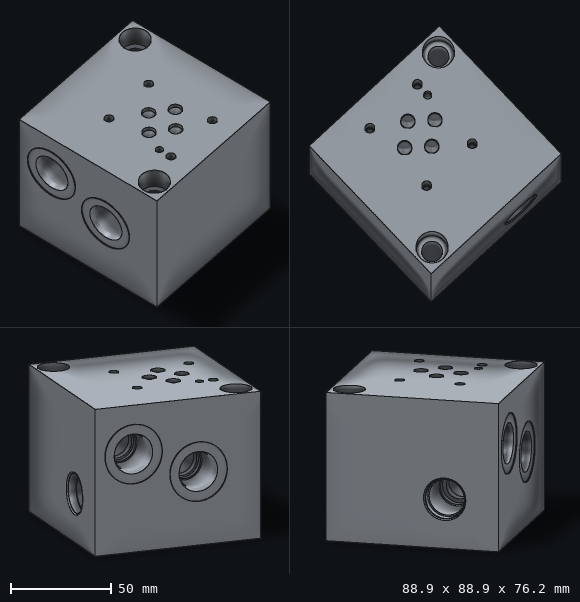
import cadquery as cq
import math

SIDE = 88.9
HEIGHT = 76.2
DRILL_POINT_ANGLE = 118.0

BOLT_DIA = 10.3
BOLT_HEAD_DIA = 15.9
BOLT_HEAD_DEPTH = 11.6
BOLT_INSET = 9.5

PATTERN_X = 34.1
PATTERN_Y = 60.0
SCREW_SPAN_X = 40.5
LEFT_SCREW_SPAN_Y = 31.0
RIGHT_SCREW_OFFSET = 0.7
SCREW_DIA = 4.8
SCREW_CORE_DIA = 3.8
SCREW_THREAD_DEPTH = 10.7
SCREW_CORE_DEPTH = 12.45
PIN_DIA = 4.0
PIN_DEPTH = 5.3
PIN_TO_SCREW = 7.5
FLOW_DIA = 7.1
FLOW_DEPTH = 2.2
FLOW_CENTRE_X = 21.5
FLOW_SPACING_X = 8.7
FLOW_SPACING_Y = 10.3

PORT_CENTRES = [(20.7, 50.8), (55.6, 38.05)]
SPOTFACE_DIA = 30.7
SPOTFACE_DEPTH = 0.5
PORT_MOUTH_DIA = 20.6
PORT_THREAD_DIA = 19.0
PORT_MINOR_DIA = 17.5
PORT_DRILL_DIA = 15.9
PORT_TAPER_END = 3.4
PORT_THREAD_END = 19.6
PORT_MINOR_END = 22.2
PORT_DRILL_END = 26.7

CAVITY_Y = 27.7
CAVITY_Z = 25.3
CAVITY_MOUTH_DIA = 21.8
CAVITY_CHAMFER_DIA = 20.6
CAVITY_SEAL_DIA = 20.0
CAVITY_THREAD_DIA = 18.6
CAVITY_BODY_DIA = 17.4
CAVITY_NOSE_DIA = 13.5
CAVITY_CHAMFER_END = 0.7
CAVITY_SEAL_END = 4.9
CAVITY_THREAD_END = 24.0
CAVITY_BODY_END = 28.45
CAVITY_NOSE_END = 33.8


def drill_point_depth(large_dia, small_dia=0):
    """Depth of the drill cone between two diameters."""
    return (large_dia - small_dia) / 2 / math.tan(math.radians(DRILL_POINT_ANGLE / 2))


def bore(centre, direction, profile):
    """Revolved blind hole from (diameter, depth) pairs, closed by a drill point."""
    last_dia, last_depth = profile[-1]
    outline = [(0, 0)]
    outline += [(dia / 2, depth) for dia, depth in profile]
    outline += [(0, last_depth + drill_point_depth(last_dia))]
    across = (0, 1, 0) if direction[1] == 0 else (1, 0, 0)
    x_axis = cq.Vector(*direction).cross(cq.Vector(*across))
    plane = cq.Plane(origin=centre, xDir=x_axis.toTuple(), normal=across)
    return cq.Workplane(plane).polyline(outline).close().revolve(360, (0, 0), (0, 1))


def top_hole(x, y, profile):
    return bore((x, y, HEIGHT), (0, 0, -1), profile)


def front_port(x, z):
    cone_depth = drill_point_depth(PORT_MINOR_DIA, PORT_DRILL_DIA)
    profile = [
        (SPOTFACE_DIA, 0),
        (SPOTFACE_DIA, SPOTFACE_DEPTH),
        (PORT_MOUTH_DIA, SPOTFACE_DEPTH),
        (PORT_THREAD_DIA, PORT_TAPER_END),
        (PORT_THREAD_DIA, PORT_THREAD_END),
        (PORT_MINOR_DIA, PORT_THREAD_END),
        (PORT_MINOR_DIA, PORT_MINOR_END),
        (PORT_DRILL_DIA, PORT_MINOR_END + cone_depth),
        (PORT_DRILL_DIA, PORT_DRILL_END),
    ]
    return bore((x, 0, z), (0, 1, 0), profile)


def valve_cavity():
    taper_to_body = (CAVITY_THREAD_DIA - CAVITY_BODY_DIA) / 2
    profile = [
        (CAVITY_MOUTH_DIA, 0),
        (CAVITY_CHAMFER_DIA, CAVITY_CHAMFER_END),
        (CAVITY_SEAL_DIA, CAVITY_CHAMFER_END),
        (CAVITY_SEAL_DIA, CAVITY_SEAL_END),
        (CAVITY_THREAD_DIA, CAVITY_SEAL_END),
        (CAVITY_THREAD_DIA, CAVITY_THREAD_END),
        (CAVITY_BODY_DIA, CAVITY_THREAD_END + taper_to_body),
        (CAVITY_BODY_DIA, CAVITY_BODY_END),
        (CAVITY_NOSE_DIA, CAVITY_BODY_END),
        (CAVITY_NOSE_DIA, CAVITY_NOSE_END),
    ]
    return bore((0, CAVITY_Y, CAVITY_Z), (1, 0, 0), profile)


result = (
    cq.Workplane("XY")
    .box(SIDE, SIDE, HEIGHT, centered=False)
    .faces(">Z")
    .workplane(origin=(0, 0, HEIGHT))
    .pushPoints([(BOLT_INSET, SIDE - BOLT_INSET), (SIDE - BOLT_INSET, BOLT_INSET)])
    .cboreHole(BOLT_DIA, BOLT_HEAD_DIA, BOLT_HEAD_DEPTH)
)

right_x = PATTERN_X + SCREW_SPAN_X
left_front_y = PATTERN_Y - LEFT_SCREW_SPAN_Y
right_front_y = left_front_y - RIGHT_SCREW_OFFSET
screw_centres = [
    (PATTERN_X, PATTERN_Y),
    (PATTERN_X, left_front_y),
    (right_x, PATTERN_Y + RIGHT_SCREW_OFFSET),
    (right_x, right_front_y),
]
screw_profile = [
    (SCREW_DIA, 0),
    (SCREW_DIA, SCREW_THREAD_DEPTH),
    (SCREW_CORE_DIA, SCREW_THREAD_DEPTH),
    (SCREW_CORE_DIA, SCREW_CORE_DEPTH),
]
for x, y in screw_centres:
    result = result.cut(top_hole(x, y, screw_profile))

pin_profile = [(PIN_DIA, 0), (PIN_DIA, PIN_DEPTH)]
result = result.cut(top_hole(right_x - PIN_TO_SCREW, right_front_y, pin_profile))

flow_x = PATTERN_X + FLOW_CENTRE_X
flow_y = PATTERN_Y - LEFT_SCREW_SPAN_Y / 2
flow_profile = [(FLOW_DIA, 0), (FLOW_DIA, FLOW_DEPTH)]
for step_x, step_y in [(-1, 0), (1, 0), (0, -1), (0, 1)]:
    x = flow_x + step_x * FLOW_SPACING_X
    y = flow_y + step_y * FLOW_SPACING_Y
    result = result.cut(top_hole(x, y, flow_profile))

for x, z in PORT_CENTRES:
    result = result.cut(front_port(x, z))
result = result.cut(valve_cavity())